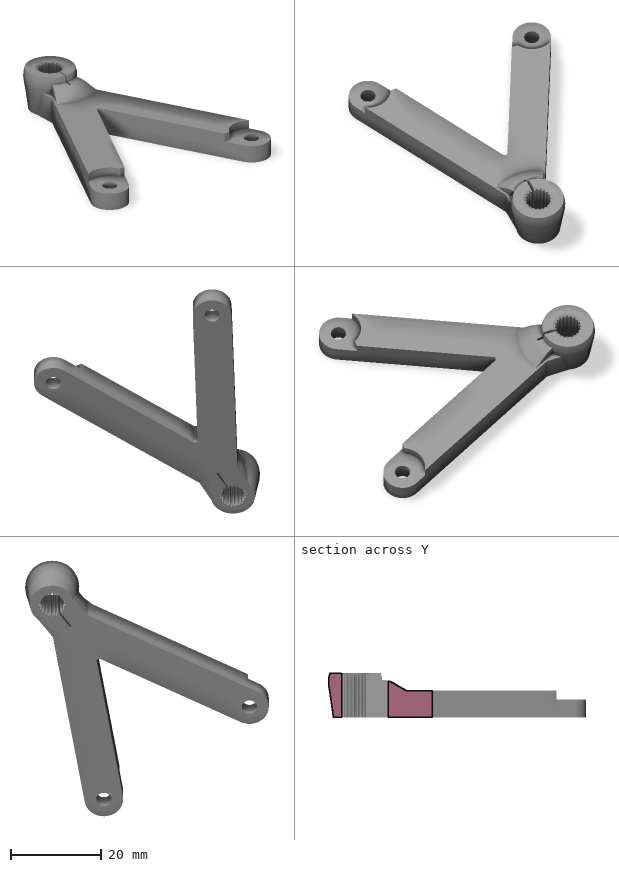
import cadquery as cq
import math

hub_height = 9.9
hub_bottom_radius = 4.9
hub_rim_height = 7.1
hub_rim_radius = 5.95
hub_bulge_height = 8.0
hub_bulge_radius = 6.0
hub_top_radius = 5.65

tooth_count = 20
spline_root_radius = 2.9
spline_tip_radius = 2.65
groove_mouth_share = 0.6
groove_floor_share = 0.4
bore_mouth_radius = 3.4
bore_mouth_depth = 0.4

slit_width = 0.6
slit_end = 7.3

arm_height = 6.0
arm_half_width = 4.3
lug_x = 46.85
lug_y = 20.0
lug_hole_diameter = 3.4
arm_slope = 0.5
arm_angle = math.atan(arm_slope)
arm_length = lug_y / math.sin(arm_angle)
fork_x = lug_x - lug_y / arm_slope
crotch_x = fork_x + arm_half_width / math.sin(arm_angle)
crotch_fillet = 0.6

neck_half_width = 4.75
neck_end = fork_x + (neck_half_width - arm_half_width / math.cos(arm_angle)) / arm_slope

lug_height = 4.0
step_radius = 5.05
step_x = 44.7

gusset_half_width = 3.85
gusset_top_height = 8.35
gusset_start_radius = 5.45
gusset_mid_radius = 7.45
gusset_mid_height = 8.1
gusset_bend_radius = 9.05
gusset_bend_height = 7.3
gusset_end_radius = 11.3


def make_hub():
    return (
        cq.Workplane("XZ")
        .lineTo(hub_bottom_radius, 0)
        .lineTo(hub_rim_radius, hub_rim_height)
        .threePointArc((hub_bulge_radius, hub_bulge_height), (hub_top_radius, hub_height))
        .lineTo(0, hub_height)
        .close()
        .revolve()
    )


def make_neck():
    return (
        cq.Workplane("XY")
        .moveTo(0, -neck_half_width)
        .lineTo(neck_end, -neck_half_width)
        .lineTo(crotch_x, 0)
        .lineTo(neck_end, neck_half_width)
        .lineTo(0, neck_half_width)
        .close()
        .extrude(arm_height)
    )


def make_arm(side):
    bar = cq.Workplane("XY").box(arm_length, 2 * arm_half_width, arm_height, centered=(False, True, False))
    lug = cq.Workplane("XY").center(arm_length, 0).circle(arm_half_width).extrude(arm_height)
    arm = bar.union(lug).rotate((0, 0, 0), (0, 0, 1), side * math.degrees(arm_angle))
    beyond_neck = cq.Workplane("XY").box(2 * lug_x, 4 * lug_y, arm_height, centered=(False, True, False))
    return arm.translate((fork_x, 0, 0)).intersect(beyond_neck.translate((neck_end, 0, 0)))


def make_step_cut(side):
    cut_height = arm_height - lug_height
    level = cq.Workplane("XY").workplane(offset=lug_height)
    round_cut = level.center(lug_x, side * lug_y).circle(step_radius).extrude(cut_height)
    end_cut = level.center(step_x + lug_x / 2, side * lug_y).rect(lug_x, lug_y).extrude(cut_height)
    return round_cut.union(end_cut)


def make_gusset():
    turned = (
        cq.Workplane("XZ")
        .lineTo(0, gusset_top_height)
        .lineTo(gusset_start_radius, gusset_top_height)
        .threePointArc((gusset_mid_radius, gusset_mid_height), (gusset_bend_radius, gusset_bend_height))
        .lineTo(gusset_end_radius, arm_height)
        .lineTo(gusset_end_radius, 0)
        .close()
        .revolve()
    )
    half_offset = gusset_half_width / math.cos(arm_angle)
    end_half_width = half_offset + (gusset_end_radius - fork_x) * arm_slope
    apex_x = fork_x - half_offset / arm_slope
    sector = (
        cq.Workplane("XY")
        .moveTo(apex_x, 0)
        .lineTo(gusset_end_radius, end_half_width)
        .lineTo(gusset_end_radius, -end_half_width)
        .close()
        .extrude(gusset_top_height)
    )
    return turned.intersect(sector)


def make_spline_bore():
    pitch = 2 * math.pi / tooth_count
    groove_corners = (
        (spline_tip_radius, -groove_mouth_share / 2),
        (spline_root_radius, -groove_floor_share / 2),
        (spline_root_radius, groove_floor_share / 2),
        (spline_tip_radius, groove_mouth_share / 2),
    )
    points = []
    for groove in range(tooth_count):
        for radius, share in groove_corners:
            angle = (groove + share) * pitch
            points.append((radius * math.cos(angle), radius * math.sin(angle)))
    toothed = cq.Workplane("XY").polyline(points).close().extrude(hub_height)
    mouth_base = cq.Vector(0, 0, hub_height - bore_mouth_depth)
    mouth = cq.Solid.makeCone(spline_tip_radius, bore_mouth_radius, bore_mouth_depth, pnt=mouth_base)
    return toothed.union(cq.Workplane(mouth))


def make_slit():
    straight_end = slit_end - slit_width / 2
    straight = cq.Workplane("XY").box(straight_end, slit_width, hub_height, centered=(False, True, False))
    round_end = cq.Workplane("XY").center(straight_end, 0).circle(slit_width / 2).extrude(hub_height)
    return straight.union(round_end)


def make_lug_holes():
    return (
        cq.Workplane("XY")
        .pushPoints([(lug_x, lug_y), (lug_x, -lug_y)])
        .circle(lug_hole_diameter / 2)
        .extrude(arm_height)
    )


def make_fork():
    fork = make_neck().union(make_arm(1)).union(make_arm(-1))
    crotch = cq.selectors.NearestToPointSelector((crotch_x, 0, arm_height / 2))
    fork = fork.edges("|Z").edges(crotch).fillet(crotch_fillet)
    for side in (1, -1):
        fork = fork.cut(make_step_cut(side))
    return fork.cut(make_lug_holes())


body = make_fork().union(make_gusset()).union(make_hub())
result = body.cut(make_spline_bore()).cut(make_slit())